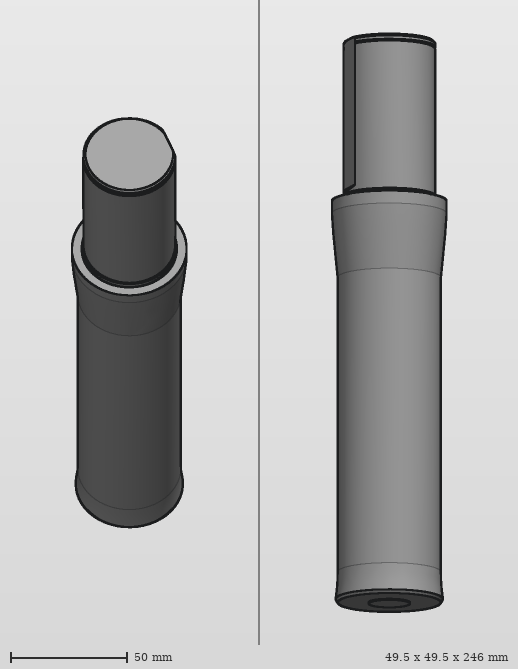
import cadquery as cq

TOTAL_HEIGHT = 246.0
COLLAR_TOP = 176.1
BAND_BOTTOM = COLLAR_TOP - 5.5
TAPER_BOTTOM = BAND_BOTTOM - 28.0

TUBE_RADIUS = 44.5 / 2
COLLAR_RADIUS = 49.5 / 2
TAPER_BULGE = 0.2
FLARE_TOP = 13.8
RIM_HEIGHT = 2.0
RIM_RADIUS = 23.1
FOOT_RADIUS = 22.1
BOSS_RADIUS = 8.9
BOSS_HEIGHT = 0.5
SOCKET_RADIUS = 40.0 / 2
SOCKET_CHAMFER = 0.5
SOCKET_FLOOR = TAPER_BOTTOM

PIN_RADIUS = 39.5 / 2
TOP_CHAMFER = 1.0
GROOVE_DEPTH = 0.12
GROOVE_WIDTH = 0.7
LOWER_GROOVE_BOTTOM = COLLAR_TOP + 1.5
UPPER_GROOVE_BOTTOM = TOTAL_HEIGHT - 3.2
FLAT_DISTANCE = 18.2
RUN_OUT_START = COLLAR_TOP + 3.2


def make_housing():
    """Round body with a bowed collar taper, a flared foot, a small boss and a socket."""
    taper_middle = (BAND_BOTTOM + TAPER_BOTTOM) / 2
    taper_middle_radius = (COLLAR_RADIUS + TUBE_RADIUS) / 2 + TAPER_BULGE
    flare_middle = (FLARE_TOP + RIM_HEIGHT) / 2
    flare_middle_radius = TUBE_RADIUS + (RIM_RADIUS - TUBE_RADIUS) / 4
    body = (
        cq.Workplane("XZ")
        .moveTo(0, BOSS_HEIGHT)
        .lineTo(FOOT_RADIUS, BOSS_HEIGHT)
        .lineTo(RIM_RADIUS, RIM_HEIGHT)
        .threePointArc((flare_middle_radius, flare_middle), (TUBE_RADIUS, FLARE_TOP))
        .lineTo(TUBE_RADIUS, TAPER_BOTTOM)
        .threePointArc((taper_middle_radius, taper_middle), (COLLAR_RADIUS, BAND_BOTTOM))
        .lineTo(COLLAR_RADIUS, COLLAR_TOP)
        .lineTo(SOCKET_RADIUS + SOCKET_CHAMFER, COLLAR_TOP)
        .lineTo(SOCKET_RADIUS, COLLAR_TOP - SOCKET_CHAMFER)
        .lineTo(SOCKET_RADIUS, SOCKET_FLOOR)
        .lineTo(0, SOCKET_FLOOR)
        .close()
        .revolve(360, (0, 0), (0, 1))
    )
    boss = cq.Workplane("XY").circle(BOSS_RADIUS).extrude(BOSS_HEIGHT)
    return body.union(boss)


def make_groove_cutter(bottom):
    """Shallow ring removed around the pin."""
    return (
        cq.Workplane("XY", origin=(0, 0, bottom))
        .circle(PIN_RADIUS)
        .circle(PIN_RADIUS - GROOVE_DEPTH)
        .extrude(GROOVE_WIDTH)
    )


def make_flat_cutter():
    """Material removed on the +Y side: a flat with a 45 degree run-out at its lower end."""
    run_out = PIN_RADIUS - FLAT_DISTANCE
    return (
        cq.Workplane("YZ")
        .moveTo(FLAT_DISTANCE, TOTAL_HEIGHT)
        .lineTo(FLAT_DISTANCE, RUN_OUT_START + run_out)
        .lineTo(PIN_RADIUS, RUN_OUT_START)
        .lineTo(PIN_RADIUS, TOTAL_HEIGHT)
        .close()
        .extrude(PIN_RADIUS, both=True)
    )


def make_pin():
    """Cylinder standing on the socket floor, with a chamfered top, two grooves and one flat."""
    shaft = (
        cq.Workplane("XY", origin=(0, 0, SOCKET_FLOOR))
        .circle(PIN_RADIUS)
        .extrude(TOTAL_HEIGHT - SOCKET_FLOOR)
        .faces(">Z")
        .chamfer(TOP_CHAMFER)
    )
    for groove_bottom in (LOWER_GROOVE_BOTTOM, UPPER_GROOVE_BOTTOM):
        shaft = shaft.cut(make_groove_cutter(groove_bottom))
    return shaft.cut(make_flat_cutter())


housing = make_housing()
pin = make_pin()
result = cq.Compound.makeCompound([housing.val(), pin.val()])